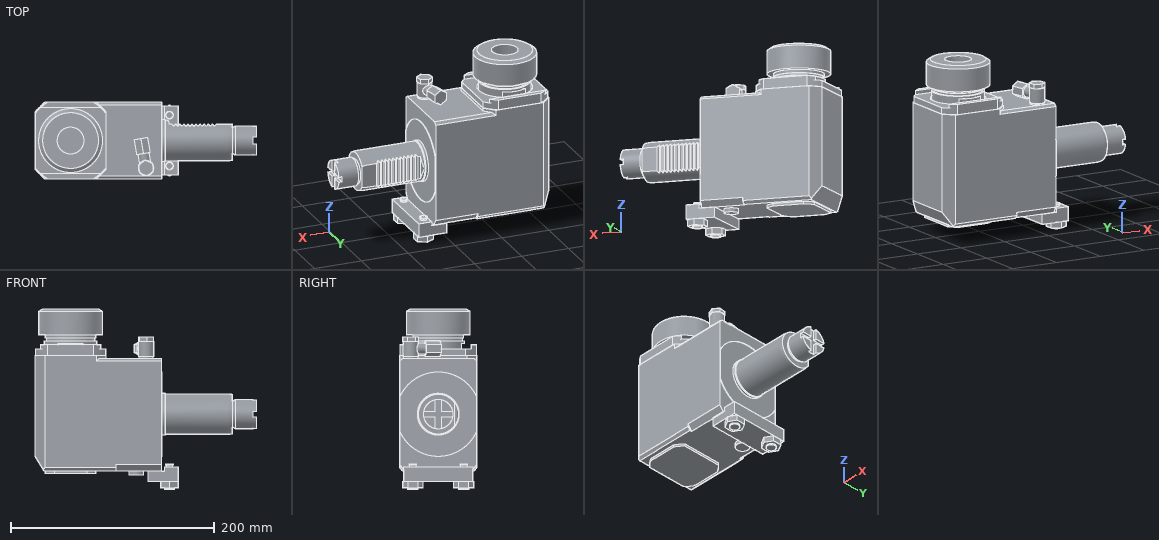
import cadquery as cq
import math


width = 76.0
front_x = -124.6
housing_top = 55.0
housing_bottom = -56.0
top_chamfer_y = 3.2
top_chamfer_z = 2.6
spindle_x = -89.6
column_length = 2 * (spindle_x - front_x)
column_top = 57.9
column_corner = 9.7
bevel_run = 8.7
bevel_rise = 14.6
edge_cut_y = 2.65
edge_cut_z = 3.5
rear_edge_cut_z = 6.6
rear_edge_cut_y = rear_edge_cut_z * edge_cut_y / edge_cut_z
rear_edge_cut_x = -44.9
pad_length = 50.0
pad_width = 60.0
pad_radius = 34.0
pad_height = 2.6
screw_x = -25.0
screw_y = 17.4
screw_diameter = 14.4
screw_height = 4.0

cover_inset = 0.3
cover_radius = 44.0
cover_top = 64.3
lip_top = 68.3
lip_inner_y = 32.4
cover_hole_diameter = 54.6

flange_diameter = 83.0
flange_width = width - 1.0
flange_thickness = 0.5
collar_radius = 20.6
collar_end = 3.2
shank_radius = 20.0
collar_taper_end = 4.0
shank_end = 69.5
shank_taper = 3.3
shank_end_radius = 19.5
tang_radius = 14.5
tang_root_radius = 12.6
tang_cone_end = 72.5
tang_end = 93.35
cross_slot_depth = 3.4
level_slot_width = 5.2
upright_slot_width = 6.6
rack_y = 16.1
rack_start = 7.2
rack_corner = 2.5
first_groove = 11.9
groove_pitch = 4.0
groove_count = 11
groove_depth = 1.9

bar_start = -13.6
bar_end = 16.4
bar_width = 68.0
bar_bottom = -66.3
bar_step_x = 2.6
bar_step_top = -51.9
clamp_screw_x = 7.7
clamp_screw_y = 25.0
pin_diameter = 7.6
pin_neck_diameter = 6.4
pin_top = -49.2
pin_rim = 1.0
head_corners = 20.0
head_height = 6.2
tip_diameter = 10.2
tip_end = -73.96

nozzle_x = -15.3
nozzle_y = -27.1
nozzle_diameter = 15.1
nozzle_cap_corners = 15.9
nozzle_cap_turn = 37.0
nozzle_foot_diameter = 14.0
nozzle_foot_height = 1.5
nozzle_cap_base = 71.6
nozzle_top = 76.1
arm_turn = 10.0
arm_z = 64.5
arm_diameter = 11.0
arm_nut_flats = 13.4
arm_nut_start = 14.5
arm_end = 29.4

base_diameter = 52.0
base_flat_y = 22.9
base_flat_bottom = 63.5
base_flat_top = 69.3
base_top = 72.1
groove_diameter = 47.9
groove_top = 74.7
neck_diameter = 50.0
nut_bottom = 78.0
nut_diameter = 62.9
nut_top = 103.7
nut_chamfer_height = 2.7
nut_chamfer_width = 4.0
nut_bore_diameter = 26.4
nut_bore_depth = 15.6


def block(x_start, x_end, y_size, z_start, z_end):
    """Box centred on Y = 0."""
    return cq.Workplane("XY").box(
        x_end - x_start, y_size, z_end - z_start, centered=(False, True, False)
    ).translate((x_start, 0, z_start))


def post(x, y, diameter, z_start, z_end):
    """Upright cylinder."""
    return cq.Workplane("XY", origin=(x, y, z_start)).circle(diameter / 2).extrude(z_end - z_start)


def hexagon_post(x, y, corners, z_start, z_end, turn=0):
    """Upright hexagonal prism, turned about its own axis."""
    prism = cq.Workplane("XY").polygon(6, corners).extrude(z_end - z_start)
    return prism.rotate((0, 0, 0), (0, 0, 1), turn).translate((x, y, z_start))


def bottom_edge_cutters(x_start, x_end, cut_y, cut_z):
    """Wedges that take off both long bottom edges of the housing."""
    half = width / 2
    wedge = (
        cq.Workplane("YZ", origin=(x_start, 0, 0))
        .moveTo(half, housing_bottom)
        .lineTo(half, housing_bottom + cut_z)
        .lineTo(half - cut_y, housing_bottom)
        .close()
        .extrude(x_end - x_start)
    )
    return wedge.union(wedge.mirror("XZ"))


def make_housing_block():
    half = width / 2
    top_edge = half - top_chamfer_y
    rear = (
        cq.Workplane("YZ", origin=(spindle_x, 0, 0))
        .polyline([
            (-half, housing_bottom),
            (half, housing_bottom),
            (half, housing_top - top_chamfer_z),
            (top_edge, housing_top),
            (-top_edge, housing_top),
            (-half, housing_top - top_chamfer_z),
        ])
        .close()
        .extrude(-spindle_x)
    )
    column_end = front_x + column_length
    column = block(front_x, column_end, width, housing_bottom, column_top)
    column = column.edges("|Z").chamfer(column_corner)
    body = column.union(rear)
    bevel = (
        cq.Workplane("XZ")
        .moveTo(front_x, housing_bottom)
        .lineTo(front_x + bevel_run, housing_bottom)
        .lineTo(front_x, housing_bottom + bevel_rise)
        .close()
        .extrude(width / 2, both=True)
    )
    body = body.cut(bevel)
    body = body.cut(bottom_edge_cutters(front_x, 0, edge_cut_y, edge_cut_z))
    body = body.cut(bottom_edge_cutters(rear_edge_cut_x, 0, rear_edge_cut_y, rear_edge_cut_z))
    pad_bottom = housing_bottom - pad_height
    pad = block(spindle_x - pad_length / 2, spindle_x + pad_length / 2, pad_width, pad_bottom, housing_bottom)
    pad = pad.intersect(post(spindle_x, 0, 2 * pad_radius, pad_bottom, housing_bottom))
    screw = post(screw_x, screw_y, screw_diameter, housing_bottom - screw_height, housing_bottom)
    return body.union(pad).union(screw)


def make_shank():
    profile = [
        (0, 0),
        (0, collar_radius),
        (collar_end, collar_radius),
        (collar_taper_end, shank_radius),
        (shank_end - shank_taper, shank_radius),
        (shank_end, shank_end_radius),
        (shank_end, tang_root_radius),
        (tang_cone_end, tang_radius),
        (tang_end, tang_radius),
        (tang_end, 0),
    ]
    shank = cq.Workplane("XY").polyline(profile).close().revolve(360, (0, 0, 0), (1, 0, 0))

    flat = (
        cq.Workplane("XY", origin=(0, 0, -shank_radius))
        .moveTo(rack_start, rack_y)
        .lineTo(rack_start, shank_radius - rack_corner)
        .radiusArc((rack_start - rack_corner, shank_radius), -rack_corner)
        .lineTo(shank_end, shank_radius)
        .lineTo(shank_end, rack_y)
        .close()
        .extrude(2 * shank_radius)
    )
    shank = shank.cut(flat)
    for index in range(groove_count):
        groove = (
            cq.Workplane("XY", origin=(first_groove + index * groove_pitch, rack_y, -shank_radius))
            .moveTo(-groove_depth, 0)
            .lineTo(0, -groove_depth)
            .lineTo(groove_depth, 0)
            .close()
            .extrude(2 * shank_radius)
        )
        shank = shank.cut(groove)

    slot_start = tang_end - cross_slot_depth
    level_slot = block(
        slot_start, tang_end, 2 * tang_radius, -level_slot_width / 2, level_slot_width / 2
    )
    upright_slot = block(slot_start, tang_end, upright_slot_width, -tang_radius, tang_radius)
    shank = shank.cut(level_slot).cut(upright_slot)

    flange = cq.Workplane("YZ").circle(flange_diameter / 2).extrude(flange_thickness)
    flange = flange.intersect(block(0, flange_thickness, flange_width, -width, width))
    return shank.union(flange)


def make_clamp():
    clamp = block(bar_start, bar_end, bar_width, bar_bottom, housing_bottom)
    clamp = clamp.union(block(bar_step_x, bar_end, bar_width, bar_bottom, bar_step_top))
    head_bottom = bar_bottom - head_height
    for y in (-clamp_screw_y, clamp_screw_y):
        clamp = clamp.union(post(clamp_screw_x, y, pin_neck_diameter, bar_step_top, pin_top))
        clamp = clamp.union(post(clamp_screw_x, y, pin_diameter, pin_top - pin_rim, pin_top))
        clamp = clamp.union(hexagon_post(clamp_screw_x, y, head_corners, head_bottom, bar_bottom, 90))
        clamp = clamp.union(post(clamp_screw_x, y, tip_diameter, tip_end, head_bottom))
    return clamp


def make_nozzle():
    foot_top = housing_top + nozzle_foot_height
    nozzle = post(nozzle_x, nozzle_y, nozzle_foot_diameter, housing_top, foot_top)
    nozzle = nozzle.union(post(nozzle_x, nozzle_y, nozzle_diameter, foot_top, nozzle_cap_base))
    nozzle = nozzle.union(
        hexagon_post(nozzle_x, nozzle_y, nozzle_cap_corners, nozzle_cap_base, nozzle_top, nozzle_cap_turn)
    )
    arm = cq.Workplane("XZ").circle(arm_diameter / 2).extrude(-arm_nut_start)
    nut_corners = arm_nut_flats / math.cos(math.radians(30))
    arm_nut = (
        cq.Workplane("XZ")
        .polygon(6, nut_corners)
        .extrude(arm_nut_start - arm_end)
        .rotate((0, 0, 0), (0, 1, 0), 90)
        .translate((0, arm_nut_start, 0))
    )
    arm = arm.union(arm_nut).rotate((0, 0, 0), (0, 0, 1), arm_turn)
    return nozzle.union(arm.translate((nozzle_x, nozzle_y, arm_z)))


def make_cover():
    """Plate with two lips and a hole for the spindle."""
    cover_length = column_length - 2 * cover_inset
    cover_width = width - 2 * cover_inset
    cover_start = spindle_x - cover_length / 2
    cover_end = spindle_x + cover_length / 2
    cover = block(cover_start, cover_end, cover_width, column_top, lip_top)
    cover = cover.intersect(post(spindle_x, 0, 2 * cover_radius, column_top, lip_top))
    cover = cover.cut(block(cover_start, cover_end, 2 * lip_inner_y, cover_top, lip_top))
    return cover.cut(post(spindle_x, 0, cover_hole_diameter, column_top, cover_top))


def make_spindle():
    """Base with two spanner flats, grooved neck and collet nut."""
    base_radius = base_diameter / 2
    base = post(spindle_x, 0, base_diameter, column_top, base_top)
    spanner_ring = post(spindle_x, 0, base_diameter, base_flat_bottom, base_flat_top)
    between_flats = block(
        spindle_x - base_radius, spindle_x + base_radius, 2 * base_flat_y, base_flat_bottom, base_flat_top
    )
    base = base.cut(spanner_ring.cut(between_flats))

    neck = post(spindle_x, 0, groove_diameter, base_top, groove_top)
    neck = neck.union(post(spindle_x, 0, neck_diameter, groove_top, nut_bottom))

    nut = post(spindle_x, 0, nut_diameter, nut_bottom, nut_top)
    nut = nut.faces(">Z").edges().chamfer(nut_chamfer_height, nut_chamfer_width)
    bore = post(spindle_x, 0, nut_bore_diameter, nut_top - nut_bore_depth, nut_top)
    return base.union(neck).union(nut.cut(bore))


housing = make_housing_block().union(make_cover()).union(make_shank()).union(make_clamp()).union(make_nozzle())
spindle = make_spindle()

result = cq.Compound.makeCompound([housing.val(), spindle.val()])